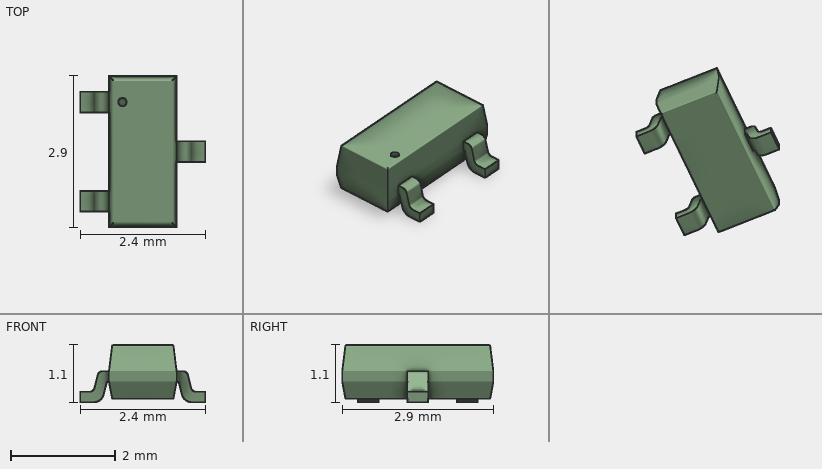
import cadquery as cq
import math

body_length_x = 1.3
body_length_y = 2.9
body_bottom = 0.065
body_top = 1.1
end_inset = 0.062
edge_radius = 0.035

mark_diameter = 0.16
mark_depth = 0.15
mark_x = -0.39

lead_thickness = 0.205
lead_width = 0.4
lead_top = 0.6
lead_bottom = lead_top - lead_thickness
lead_tip = 1.2
lead_pitch = 1.9
slope_angle = math.radians(14)
shoulder_start = 0.765
shoulder_outer_radius = 0.105
shoulder_inner_radius = 0.025
foot_inner_radius = 0.095
foot_outer_radius = 0.2

lead_root = body_length_x / 2
mark_y = lead_pitch / 2


def tapered_half(base_z, end_z):
    """Full outline at base_z, drawn in evenly to the end inset at end_z, with its end edges rounded."""
    height = end_z - base_z
    taper = math.degrees(math.atan2(end_inset, abs(height)))
    block = (
        cq.Workplane("XY", origin=(0, 0, base_z))
        .rect(body_length_x, body_length_y)
        .extrude(height, taper=taper)
    )
    end_face = ">Z" if height > 0 else "<Z"
    return block.faces(end_face).edges().fillet(edge_radius)


def make_housing():
    """Housing whose straight band has the same height range as the lead roots."""
    band = (
        cq.Workplane("XY")
        .workplane(offset=lead_bottom)
        .rect(body_length_x, body_length_y)
        .extrude(lead_thickness)
    )
    upper = tapered_half(lead_top, body_top)
    lower = tapered_half(lead_bottom, body_bottom)
    mark = (
        cq.Workplane("XY", origin=(mark_x, mark_y, body_top))
        .circle(mark_diameter / 2)
        .extrude(-mark_depth)
    )
    return band.union(upper).union(lower).cut(mark)


def bend_point(center, radius, angle):
    """Point at the given angle on a bend, as (x, z)."""
    return (center[0] + radius * math.cos(angle), center[1] + radius * math.sin(angle))


def make_lead(y):
    """Lead on the +X side: flat root, bend down, steep leg, bend out, flat foot."""
    shoulder_outer = (shoulder_start, lead_top - shoulder_outer_radius)
    leg_top = bend_point(shoulder_outer, shoulder_outer_radius, slope_angle)

    def leg_x(z, offset):
        """X of the leg's upper face at height z, moved by offset square to that face."""
        return leg_top[0] + (leg_top[1] - z) * math.tan(slope_angle) + offset / math.cos(slope_angle)

    foot_inner_z = lead_thickness + foot_inner_radius
    foot_inner = (leg_x(foot_inner_z, foot_inner_radius), foot_inner_z)
    foot_outer = (leg_x(foot_outer_radius, foot_outer_radius - lead_thickness), foot_outer_radius)
    shoulder_inner_z = lead_bottom - shoulder_inner_radius
    shoulder_inner = (
        leg_x(shoulder_inner_z, -lead_thickness - shoulder_inner_radius),
        shoulder_inner_z,
    )

    convex_middle = (math.pi / 2 + slope_angle) / 2
    concave_middle = convex_middle + math.pi
    concave_leg = slope_angle + math.pi

    profile = (
        cq.Workplane("XZ", origin=(0, y + lead_width / 2, 0))
        .moveTo(lead_root, lead_top)
        .lineTo(shoulder_start, lead_top)
        .threePointArc(bend_point(shoulder_outer, shoulder_outer_radius, convex_middle), leg_top)
        .lineTo(*bend_point(foot_inner, foot_inner_radius, concave_leg))
        .threePointArc(
            bend_point(foot_inner, foot_inner_radius, concave_middle),
            (foot_inner[0], lead_thickness),
        )
        .lineTo(lead_tip, lead_thickness)
        .lineTo(lead_tip, 0)
        .lineTo(foot_outer[0], 0)
        .threePointArc(
            bend_point(foot_outer, foot_outer_radius, concave_middle),
            bend_point(foot_outer, foot_outer_radius, concave_leg),
        )
        .lineTo(*bend_point(shoulder_inner, shoulder_inner_radius, slope_angle))
        .threePointArc(
            bend_point(shoulder_inner, shoulder_inner_radius, convex_middle),
            (shoulder_inner[0], lead_bottom),
        )
        .lineTo(lead_root, lead_bottom)
        .close()
    )
    return profile.extrude(lead_width)


housing = make_housing()

leads = [make_lead(0)]
for side in (-1, 1):
    leads.append(make_lead(side * lead_pitch / 2).mirror("YZ"))

result = cq.Compound.makeCompound([housing.val(), *[lead.val() for lead in leads]])